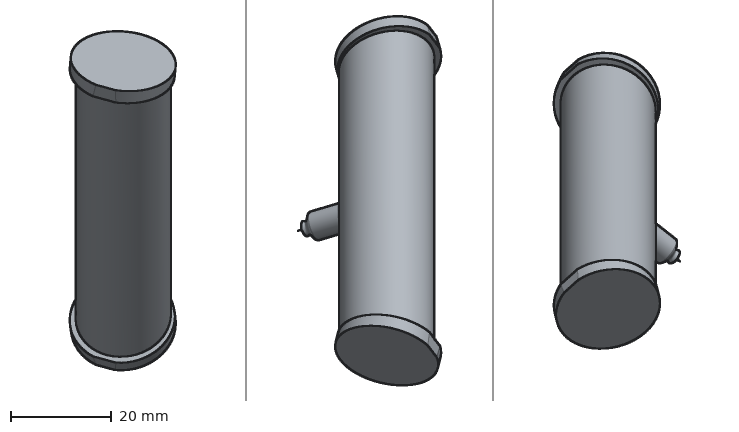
import cadquery as cq
import math

tube_radius = 9.5
cap_radius = 10.5

outer_face_angle = 13.1
inner_face_angle = 11.4
outer_face_height = 38.32
cap_thickness = 2.65

flat_distance = 10.3

stub_radius = 3.0
stub_shoulder_y = 15.8
shoulder_end_radius = 2.1
neck_radius = 1.43
neck_y = 17.45
bead_radius = 1.6
bead_y = 17.9
tip_waist_radius = 0.75
tip_waist_y = 18.45
tip_y = 19.5
stub_fillet = 0.4

outer_tan = math.tan(math.radians(outer_face_angle))
outer_sin = math.sin(math.radians(outer_face_angle))
outer_cos = math.cos(math.radians(outer_face_angle))
oversize = 4 * cap_radius

inner_centre_y = -cap_thickness * outer_sin
inner_centre_z = outer_face_height - cap_thickness * outer_cos


def block_above_inner_face():
    """Block whose underside is the slanted face where the top cap sits on the tube."""
    block = cq.Workplane("XY").box(oversize, oversize, oversize, centered=(True, True, False))
    block = block.rotate((0, 0, 0), (1, 0, 0), -inner_face_angle)
    return block.translate((0, inner_centre_y, inner_centre_z))


def block_beyond_flat():
    """Block whose +Y side is the flat on the top cap."""
    block = cq.Workplane("XY").box(oversize, oversize, oversize).translate((0, -oversize / 2, 0))
    block = block.rotate((0, 0, 0), (1, 0, 0), -inner_face_angle)
    flat_y = -flat_distance * outer_cos
    flat_z = outer_face_height + flat_distance * outer_sin
    return block.translate((0, flat_y, flat_z))


def make_top_cap():
    """Disc square to the outer face, trimmed by the inner face and the flat."""
    disc = cq.Workplane("XY").circle(cap_radius).extrude(-2 * cap_thickness)
    disc = disc.rotate((0, 0, 0), (1, 0, 0), -outer_face_angle)
    disc = disc.translate((0, 0, outer_face_height))
    return disc.intersect(block_above_inner_face()).cut(block_beyond_flat()).solids()


def make_stub():
    """Turned stub with a smoothly curved nose: sloped shoulder, neck, bead and pointed tip."""
    shoulder_end_y = stub_shoulder_y + stub_radius - shoulder_end_radius
    nose_points = [
        (shoulder_end_radius, shoulder_end_y),
        (neck_radius, neck_y),
        (bead_radius, bead_y),
        (tip_waist_radius, tip_waist_y),
        (0, tip_y),
    ]
    profile = (
        cq.Workplane("XY")
        .lineTo(stub_radius, 0)
        .lineTo(stub_radius, stub_shoulder_y)
        .spline(nose_points, includeCurrent=True)
        .close()
    )
    return profile.revolve(360, (0, 0, 0), (0, 1, 0))


def make_tube():
    """Slant-ended tube body with the side stub blended into its wall."""
    half_length = outer_face_height + cap_radius * outer_tan
    body = cq.Workplane("XY").circle(tube_radius).extrude(half_length, both=True)
    top_waste = block_above_inner_face()
    body = body.cut(top_waste).cut(top_waste.mirror("XY"))
    body = body.union(make_stub())
    root_reach = stub_radius + stub_fillet
    root_box = cq.selectors.BoxSelector(
        (-root_reach, 0, -root_reach), (root_reach, tube_radius + stub_fillet, root_reach), boundingbox=True
    )
    root_edges = body.edges(root_box)
    return root_edges.fillet(stub_fillet).solids()


tube = make_tube()
top_cap = make_top_cap()
bottom_cap = top_cap.mirror("XY").solids()

result = cq.Compound.makeCompound([tube.val(), top_cap.val(), bottom_cap.val()])